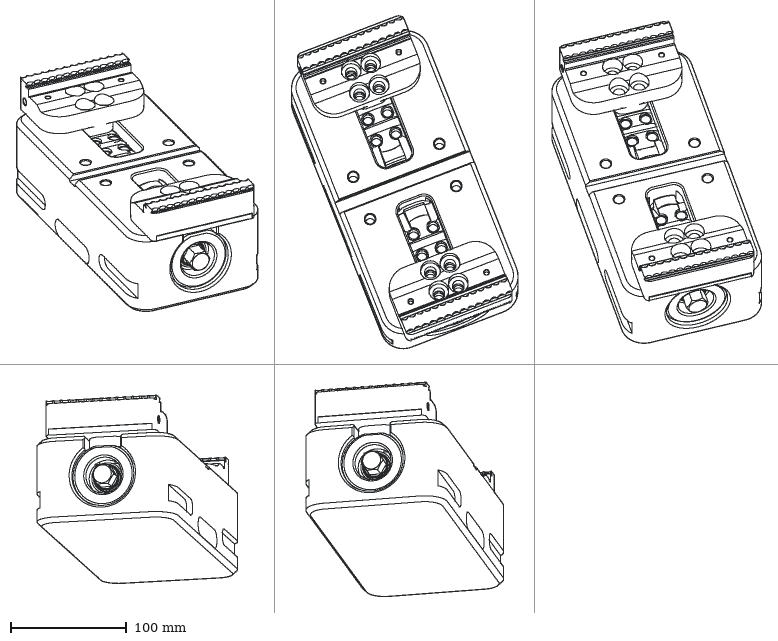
import cadquery as cq
import math


HOUSING_LENGTH = 250.0
HOUSING_WIDTH = 125.0
HOUSING_HEIGHT = 75.0
HOUSING_CORNER_RADIUS = 20.0
HOUSING_CHAMFER = 4.0
HALF_LENGTH = HOUSING_LENGTH / 2
HALF_WIDTH = HOUSING_WIDTH / 2

AXIS_HEIGHT = 40.0
BORE_DIAMETER = 55.0
END_CHAMFER = 2.0

CENTRE_GROOVE_WIDTH = 10.6
CENTRE_GROOVE_DEPTH = 5.9
CENTRE_GROOVE_CHAMFER = 0.8
BULKHEAD_THICKNESS = 36.2

JAW_SLOT_WIDTH = 32.0
JAW_SLOT_INNER_X = -17.0
JAW_SLOT_CORNER_RADIUS = 8.0
JAW_SLOT_CHAMFER = 1.3

TOP_HOLE_X = 20.0
TOP_HOLE_Y = 40.0
TOP_HOLE_DEPTH = 20.0

SIDE_GROOVE_WIDTH = 14.4
SIDE_GROOVE_DEPTH = 5.3
SIDE_GROOVE_HEIGHT = 21.5
SIDE_GROOVE_INNER_X = 53.0

CHIP_SLOT_LENGTH = 67.0
CHIP_SLOT_HEIGHT = 16.0
CHIP_SLOT_AXIS_HEIGHT = 12.2
CHIP_SLOT_SLOPE = 5.0

BOLT_PITCH_X = 20.0
BOLT_SPACING_Y = 18.0
OUTER_BOLT_X = -104.0

DRILL_POINT_ANGLE = 118.0
BOLT_DRILL = 8.5
TOP_HOLE_COUNTERSINK = 10.0

CARRIAGE_OUTER_X = -121.0
CARRIAGE_INNER_X = -21.0
FLAT_HEIGHT = 66.0
FLAT_END_X = -31.7
CARRIAGE_BOLT_ROWS = 4
CARRIAGE_HOLE_DEPTH = 13.3
HOLE_RECESS_DIAMETER = 11.0
HOLE_RECESS_DEPTH = 2.5
FLAT_CHAMFER = 1.5
NOSE_RIB_WIDTH = 18.4
NOSE_RAMP_START_X = -43.0
NOSE_RAMP_ANGLE = 35.0
KEY_GROOVE_WIDTH = 8.0
KEY_GROOVE_DEPTH = 8.0
KEY_GROOVE_COUNT = 2
COUNTERBORE_DIAMETER = 32.0
COUNTERBORE_DEPTH = 13.3
COUNTERBORE_CHAMFER = 1.5
THREAD_CHAMFER = 1.5

THREAD_DIAMETER = 24.0
COLLAR_DIAMETER = 32.0
THREAD_OUTER_X = -109.0
THREAD_END_DIAMETER = 22.0
NECK_DIAMETER = 20.5
NECK_LENGTH = 2.7
HEX_SIDES = 6
HEX_ACROSS_FLATS = 17.0
HEX_ACROSS_CORNERS = HEX_ACROSS_FLATS / math.cos(math.pi / HEX_SIDES)
HEX_TIP_DIAMETER = 16.0
HEX_OUTER_X = -HALF_LENGTH

JAW_WIDTH = 98.7
JAW_TOP_Z = 106.0
JAW_OUTER_X = -133.0
JAW_INNER_X = -73.2
SHOULDER_Z = 103.0
LEDGE_Z = 95.8
PAD_Z = 91.8
RELIEF_DEPTH = 0.8
WALL_X = -113.5
WALL_RELIEF_WIDTH = 2.5
WALL_CHAMFER = 0.8
LEDGE_END_X = -96.5
PAD_START_X = -88.8
JAW_OUTER_RADIUS = 5.3
JAW_INNER_RADIUS = 20.0

RAIL_CENTRE_X = -123.7
RAIL_TOP_WIDTH = 13.0
RAIL_FOOT_WIDTH = 9.5
RAIL_GROOVE_WIDTH = 14.0
TOOTH_COUNT = 14
TOOTH_BITE_DIAMETER = 7.0
TOOTH_BITE_DEPTH = 1.9

JAW_BOLT_ROWS = 2
JAW_BOLT_DIAMETER = 10.0
JAW_COUNTERBORE_DIAMETER = 17.0
JAW_COUNTERBORE_FLOOR_Z = 82.5
LEDGE_HOLE_Y = 35.0
LEDGE_HOLE_DRILL = 4.3
LEDGE_HOLE_COUNTERSINK = 5.0
LEDGE_HOLE_DEPTH = 9.3
SIDE_HOLE_X = -121.0
SIDE_HOLE_Z = 86.2
SIDE_HOLE_DRILL = 5.9
SIDE_HOLE_COUNTERSINK = 7.0
SIDE_HOLE_DEPTH = 13.3
WIPER_RECESS_WIDTH = 91.8
WIPER_RECESS_HEIGHT = 5.3
WIPER_RECESS_DEPTH = 0.8

TONGUE_CORNER_RADIUS = 9.8

HALF_TURN = 180.0


def box(x_range, y_range, z_range):
    """A block between the given limits."""
    size = [high - low for low, high in (x_range, y_range, z_range)]
    return cq.Workplane("XY").box(*size, centered=False).translate((x_range[0], y_range[0], z_range[0]))


def mirrored(points):
    """The points of a left half reflected to the right, in the order that continues the outline."""
    return [(-x, height) for x, height in reversed(points)]


def revolved(points):
    """A solid turned about the spindle axis from (x, radius) points."""
    return (
        cq.Workplane("XZ")
        .polyline(points)
        .close()
        .revolve(360, (0, 0, 0), (1, 0, 0))
        .translate((0, 0, AXIS_HEIGHT))
    )


def half_turned(body):
    """The matching part at the other end of the vise."""
    return body.rotate((0, 0, 0), (0, 0, 1), HALF_TURN)


def drilled_hole(mouth, drill, countersink, depth):
    """A vertical blind-hole cutter with a drill point; a countersink wider than the drill is 45 degrees."""
    radius = drill / 2
    mouth_radius = countersink / 2
    point = radius / math.tan(math.radians(DRILL_POINT_ANGLE / 2))
    sink = [(mouth_radius, 0)] if countersink > drill else []
    return (
        cq.Workplane("XZ")
        .polyline([
            (0, 0),
            *sink,
            (radius, radius - mouth_radius),
            (radius, -depth),
            (0, -depth - point),
        ])
        .close()
        .revolve(360, (0, 0, 0), (0, 1, 0))
        .translate(mouth)
    )


def bolt_points(row_count):
    """Bolt places, counted from the outer end inwards, two to a row."""
    return [
        (OUTER_BOLT_X + row * BOLT_PITCH_X, side * BOLT_SPACING_Y / 2)
        for row in range(row_count)
        for side in (-1, 1)
    ]




def bore():
    """The carriage bores from both ends and the spindle hole through the bulkhead between them."""
    radius = BORE_DIAMETER / 2
    left_half = [
        (-HALF_LENGTH, 0),
        (-HALF_LENGTH, radius + END_CHAMFER),
        (-HALF_LENGTH + END_CHAMFER, radius),
        (-BULKHEAD_THICKNESS / 2, radius),
        (-BULKHEAD_THICKNESS / 2, COLLAR_DIAMETER / 2),
    ]
    return revolved(left_half + mirrored(left_half))


def centre_groove():
    """The cross groove in the top face, with its edges broken."""
    half = CENTRE_GROOVE_WIDTH / 2
    chamfer = CENTRE_GROOVE_CHAMFER
    floor = HOUSING_HEIGHT - CENTRE_GROOVE_DEPTH
    left_half = [
        (-half, floor),
        (-half, HOUSING_HEIGHT - chamfer),
        (-half - chamfer, HOUSING_HEIGHT),
    ]
    return (
        cq.Workplane("XZ", origin=(0, HALF_WIDTH, 0))
        .polyline(left_half + mirrored(left_half))
        .close()
        .extrude(HOUSING_WIDTH)
    )


def jaw_slot():
    """The slot from the housing's left end above the bore, with its edges broken."""
    half = JAW_SLOT_WIDTH / 2
    wide = half + JAW_SLOT_CHAMFER
    rim_z = HOUSING_HEIGHT - JAW_SLOT_CHAMFER
    slot = (
        box((-HALF_LENGTH - JAW_SLOT_CHAMFER, JAW_SLOT_INNER_X), (-half, half), (AXIS_HEIGHT, rim_z))
        .edges("|Z and >X")
        .fillet(JAW_SLOT_CORNER_RADIUS)
    )
    rim = slot.faces(">Z").wires().toPending().extrude(JAW_SLOT_CHAMFER, taper=-45, combine=False)
    mouth = (
        cq.Workplane("XY", origin=(0, 0, AXIS_HEIGHT))
        .polyline([
            (-HALF_LENGTH, -wide),
            (-HALF_LENGTH, wide),
            (-HALF_LENGTH + JAW_SLOT_CHAMFER, half),
            (-HALF_LENGTH + JAW_SLOT_CHAMFER, -half),
        ])
        .close()
        .extrude(HOUSING_HEIGHT - AXIS_HEIGHT)
    )
    return slot.union(rim).union(mouth)


def side_groove(x_side, y_side):
    """A clamping groove that runs out through a vertical corner and has a round inner end."""
    round_centre = SIDE_GROOVE_INNER_X + SIDE_GROOVE_WIDTH / 2
    length = 2 * (HALF_LENGTH - round_centre) + SIDE_GROOVE_WIDTH
    return (
        cq.Workplane("XZ", origin=(x_side * HALF_LENGTH, y_side * HALF_WIDTH, SIDE_GROOVE_HEIGHT))
        .slot2D(length, SIDE_GROOVE_WIDTH)
        .extrude(SIDE_GROOVE_DEPTH, both=True)
    )


def chip_slot(y_side):
    """Half of the chip slot, rising from one long side to the middle plane."""
    slope = math.radians(CHIP_SLOT_SLOPE)
    start = cq.Plane(
        origin=(0, y_side * HALF_WIDTH, CHIP_SLOT_AXIS_HEIGHT),
        xDir=(1, 0, 0),
        normal=(0, -y_side * math.cos(slope), math.sin(slope)),
    )
    slot = cq.Workplane(start).slot2D(CHIP_SLOT_LENGTH, CHIP_SLOT_HEIGHT).extrude(HOUSING_WIDTH, both=True)
    half_space = cq.Workplane("XY").box(HOUSING_LENGTH, HOUSING_WIDTH, HOUSING_HEIGHT * 2)
    return slot.intersect(half_space.translate((0, y_side * HALF_WIDTH, 0)))


def make_housing():
    housing = (
        cq.Workplane("XY")
        .box(HOUSING_LENGTH, HOUSING_WIDTH, HOUSING_HEIGHT, centered=(True, True, False))
        .edges("|Z")
        .fillet(HOUSING_CORNER_RADIUS)
        .faces("<Z or >Z")
        .chamfer(HOUSING_CHAMFER)
    )
    housing = housing.cut(centre_groove()).cut(bore()).cut(jaw_slot()).cut(half_turned(jaw_slot()))
    for y_side in (-1, 1):
        housing = housing.cut(chip_slot(y_side))
        for x_side in (-1, 1):
            housing = housing.cut(side_groove(x_side, y_side))
            mouth = (x_side * TOP_HOLE_X, y_side * TOP_HOLE_Y, HOUSING_HEIGHT)
            housing = housing.cut(drilled_hole(mouth, BOLT_DRILL, TOP_HOLE_COUNTERSINK, TOP_HOLE_DEPTH))
    return housing




def make_spindle():
    """A threaded shaft with a collar between the carriages and a hexagon at each end."""
    thread = THREAD_DIAMETER / 2
    collar = COLLAR_DIAMETER / 2
    neck = NECK_DIAMETER / 2
    thread_end = THREAD_END_DIAMETER / 2
    left_half = [
        (THREAD_OUTER_X - NECK_LENGTH, neck),
        (THREAD_OUTER_X, neck),
        (THREAD_OUTER_X, thread_end),
        (THREAD_OUTER_X + thread - thread_end, thread),
        (CARRIAGE_INNER_X, thread),
        (CARRIAGE_INNER_X, collar),
    ]
    axis_start = [(left_half[0][0], 0)]
    left_half = axis_start + left_half
    shaft = revolved(left_half + mirrored(left_half))

    hexagon = (
        cq.Workplane("YZ", origin=(HEX_OUTER_X, 0, AXIS_HEIGHT))
        .polygon(HEX_SIDES, HEX_ACROSS_CORNERS)
        .extrude(-2 * HEX_OUTER_X)
    )
    corner = HEX_ACROSS_CORNERS / 2
    tip = HEX_TIP_DIAMETER / 2
    left_rounding = [(HEX_OUTER_X, 0), (HEX_OUTER_X, tip), (HEX_OUTER_X + corner - tip, corner)]
    rounding = revolved(left_rounding + mirrored(left_rounding))
    return shaft.union(hexagon.intersect(rounding))




def bearing_flat():
    """The cutter above the flat under the jaw; its inner end is an arc of the carriage's radius."""
    radius = BORE_DIAMETER / 2
    arc_centre = FLAT_END_X - radius
    top = AXIS_HEIGHT + radius
    straight = (
        cq.Workplane("XZ", origin=(0, radius, 0))
        .polyline([
            (CARRIAGE_OUTER_X, FLAT_HEIGHT - FLAT_CHAMFER),
            (CARRIAGE_OUTER_X + FLAT_CHAMFER, FLAT_HEIGHT),
            (arc_centre, FLAT_HEIGHT),
            (arc_centre, top),
            (CARRIAGE_OUTER_X, top),
        ])
        .close()
        .extrude(2 * radius)
    )
    rounded = (
        cq.Workplane("XY", origin=(arc_centre, 0, FLAT_HEIGHT)).circle(radius).extrude(top - FLAT_HEIGHT)
    )
    return straight.union(rounded)


def nose_ramps():
    """Cutters on both sides of the nose rib, falling from the flat towards the inner end."""
    ramp_end_x = CARRIAGE_INNER_X - END_CHAMFER
    run = ramp_end_x - NOSE_RAMP_START_X
    drop = run * math.tan(math.radians(NOSE_RAMP_ANGLE))
    wedge = (
        cq.Workplane("XZ", origin=(0, HALF_WIDTH, 0))
        .polyline([
            (NOSE_RAMP_START_X, FLAT_HEIGHT),
            (NOSE_RAMP_START_X, HOUSING_HEIGHT),
            (CARRIAGE_INNER_X, HOUSING_HEIGHT),
            (CARRIAGE_INNER_X, FLAT_HEIGHT - drop - END_CHAMFER),
            (ramp_end_x, FLAT_HEIGHT - drop),
        ])
        .close()
        .extrude(HOUSING_WIDTH)
    )
    half = NOSE_RIB_WIDTH / 2
    rib = box((NOSE_RAMP_START_X, CARRIAGE_INNER_X), (-half, half), (0, HOUSING_HEIGHT))
    return wedge.cut(rib)


def key_groove(number):
    """A cross groove midway between two bolt rows, counted from the inner end."""
    inner_row_x = OUTER_BOLT_X + (CARRIAGE_BOLT_ROWS - 1) * BOLT_PITCH_X
    centre = inner_row_x - (number + 0.5) * BOLT_PITCH_X
    half = KEY_GROOVE_WIDTH / 2
    return box(
        (centre - half, centre + half),
        (-HALF_WIDTH, HALF_WIDTH),
        (FLAT_HEIGHT - KEY_GROOVE_DEPTH, HOUSING_HEIGHT),
    )


def make_carriage():
    radius = BORE_DIAMETER / 2
    thread = THREAD_DIAMETER / 2
    counterbore = COUNTERBORE_DIAMETER / 2
    counterbore_floor = CARRIAGE_OUTER_X + COUNTERBORE_DEPTH
    carriage = revolved([
        (CARRIAGE_OUTER_X, counterbore + COUNTERBORE_CHAMFER),
        (CARRIAGE_OUTER_X, radius - END_CHAMFER),
        (CARRIAGE_OUTER_X + END_CHAMFER, radius),
        (CARRIAGE_INNER_X - END_CHAMFER, radius),
        (CARRIAGE_INNER_X, radius - END_CHAMFER),
        (CARRIAGE_INNER_X, thread),
        (counterbore_floor + THREAD_CHAMFER, thread),
        (counterbore_floor, thread + THREAD_CHAMFER),
        (counterbore_floor, counterbore),
        (CARRIAGE_OUTER_X + COUNTERBORE_CHAMFER, counterbore),
    ])
    carriage = carriage.cut(bearing_flat()).cut(nose_ramps())
    for number in range(KEY_GROOVE_COUNT):
        carriage = carriage.cut(key_groove(number))
    for x, y in bolt_points(CARRIAGE_BOLT_ROWS):
        hole = drilled_hole((x, y, FLAT_HEIGHT), BOLT_DRILL, BOLT_DRILL, CARRIAGE_HOLE_DEPTH)
        carriage = carriage.cut(hole)
    recesses = (
        cq.Workplane("XY", origin=(0, 0, FLAT_HEIGHT - HOLE_RECESS_DEPTH))
        .pushPoints(bolt_points(CARRIAGE_BOLT_ROWS))
        .circle(HOLE_RECESS_DIAMETER / 2)
        .extrude(HOLE_RECESS_DEPTH)
    )
    return carriage.cut(recesses)




def jaw_blank():
    """The jaw's profile with its dovetail rail, run across the full width and rounded in plan."""
    groove_half = RAIL_GROOVE_WIDTH / 2
    foot_half = RAIL_FOOT_WIDTH / 2
    top_half = RAIL_TOP_WIDTH / 2
    groove_z = SHOULDER_Z - RELIEF_DEPTH
    blank = (
        cq.Workplane("XZ", origin=(0, JAW_WIDTH / 2, 0))
        .polyline([
            (JAW_OUTER_X, HOUSING_HEIGHT),
            (JAW_OUTER_X, SHOULDER_Z),
            (RAIL_CENTRE_X - groove_half, SHOULDER_Z),
            (RAIL_CENTRE_X - groove_half, groove_z),
            (RAIL_CENTRE_X - foot_half, groove_z),
            (RAIL_CENTRE_X - top_half, JAW_TOP_Z),
            (RAIL_CENTRE_X + top_half, JAW_TOP_Z),
            (RAIL_CENTRE_X + foot_half, groove_z),
            (RAIL_CENTRE_X + groove_half, groove_z),
            (RAIL_CENTRE_X + groove_half, SHOULDER_Z),
            (WALL_X - WALL_CHAMFER, SHOULDER_Z),
            (WALL_X, SHOULDER_Z - WALL_CHAMFER),
            (WALL_X, LEDGE_Z - RELIEF_DEPTH),
            (WALL_X + WALL_RELIEF_WIDTH - RELIEF_DEPTH, LEDGE_Z - RELIEF_DEPTH),
            (WALL_X + WALL_RELIEF_WIDTH, LEDGE_Z),
            (LEDGE_END_X, LEDGE_Z),
            (PAD_START_X, PAD_Z),
            (JAW_INNER_X, PAD_Z),
            (JAW_INNER_X, HOUSING_HEIGHT),
        ])
        .close()
        .extrude(JAW_WIDTH)
    )
    half = JAW_WIDTH / 2
    outline = (
        box((JAW_OUTER_X, JAW_INNER_X), (-half, half), (HOUSING_HEIGHT, JAW_TOP_Z))
        .edges("|Z and <X")
        .fillet(JAW_OUTER_RADIUS)
        .edges("|Z and >X")
        .fillet(JAW_INNER_RADIUS)
    )
    return blank.intersect(outline)


def rail_teeth():
    """The round bites along both flanks of the rail."""
    pitch = JAW_WIDTH / TOOTH_COUNT
    offset = RAIL_TOP_WIDTH / 2 - TOOTH_BITE_DEPTH + TOOTH_BITE_DIAMETER / 2
    places = [
        (RAIL_CENTRE_X + side * offset, (number + 0.5) * pitch - JAW_WIDTH / 2)
        for number in range(TOOTH_COUNT)
        for side in (-1, 1)
    ]
    return (
        cq.Workplane("XY", origin=(0, 0, SHOULDER_Z))
        .pushPoints(places)
        .circle(TOOTH_BITE_DIAMETER / 2)
        .extrude(JAW_TOP_Z - SHOULDER_Z)
    )


def jaw_tongue():
    """The tongue under the jaw that fills the slot down to the carriage's flat."""
    half = JAW_SLOT_WIDTH / 2
    bolt_centre = OUTER_BOLT_X + (JAW_BOLT_ROWS - 1) * BOLT_PITCH_X / 2
    outer_x = 2 * bolt_centre - JAW_INNER_X
    return (
        box((outer_x, JAW_INNER_X), (-half, half), (FLAT_HEIGHT, HOUSING_HEIGHT))
        .edges("|Z")
        .fillet(TONGUE_CORNER_RADIUS)
    )


def bolt_holes():
    """The counterbored holes over the two outer bolt rows."""
    places = bolt_points(JAW_BOLT_ROWS)
    holes = (
        cq.Workplane("XY", origin=(0, 0, FLAT_HEIGHT))
        .pushPoints(places)
        .circle(JAW_BOLT_DIAMETER / 2)
        .extrude(JAW_TOP_Z - FLAT_HEIGHT)
    )
    counterbores = (
        cq.Workplane("XY", origin=(0, 0, JAW_COUNTERBORE_FLOOR_Z))
        .pushPoints(places)
        .circle(JAW_COUNTERBORE_DIAMETER / 2)
        .extrude(JAW_TOP_Z - JAW_COUNTERBORE_FLOOR_Z)
    )
    return holes.union(counterbores)


def side_hole():
    """The threaded hole in the jaw's end."""
    hole = drilled_hole((0, 0, 0), SIDE_HOLE_DRILL, SIDE_HOLE_COUNTERSINK, SIDE_HOLE_DEPTH)
    lying = hole.rotate((0, 0, 0), (1, 0, 0), 90)
    return lying.translate((SIDE_HOLE_X, -JAW_WIDTH / 2, SIDE_HOLE_Z))


def make_jaw():
    jaw = jaw_blank().cut(rail_teeth()).union(jaw_tongue()).cut(bolt_holes()).cut(side_hole())
    for side in (-1, 1):
        mouth = (OUTER_BOLT_X, side * LEDGE_HOLE_Y, LEDGE_Z)
        jaw = jaw.cut(drilled_hole(mouth, LEDGE_HOLE_DRILL, LEDGE_HOLE_COUNTERSINK, LEDGE_HOLE_DEPTH))
    wiper_recess = box(
        (JAW_OUTER_X, JAW_OUTER_X + WIPER_RECESS_DEPTH),
        (-WIPER_RECESS_WIDTH / 2, WIPER_RECESS_WIDTH / 2),
        (HOUSING_HEIGHT, HOUSING_HEIGHT + WIPER_RECESS_HEIGHT),
    )
    return jaw.cut(wiper_recess)



housing = make_housing()
spindle = make_spindle()
left_carriage = make_carriage()
left_jaw = make_jaw()
carriages = [left_carriage, half_turned(left_carriage)]
jaws = [left_jaw, half_turned(left_jaw)]

result = cq.Compound.makeCompound([
    housing.val(),
    spindle.val(),
    *[carriage.val() for carriage in carriages],
    *[jaw.val() for jaw in jaws],
])